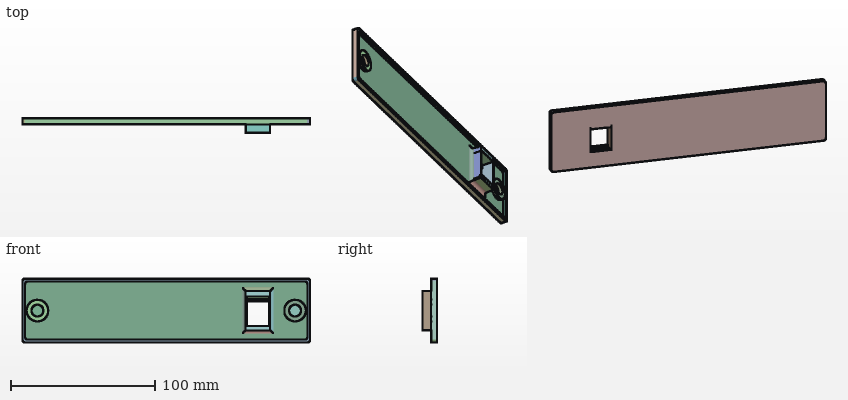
import cadquery as cq

PLATE_LENGTH = 199.6
PLATE_HEIGHT = 44.45
PLATE_THICKNESS = 4.25
PLATE_CORNER_RADIUS = 2.0
RIM_WIDTH = 2.0
FLOOR_THICKNESS = 2.25
POCKET_CORNER_RADIUS = 1.75

BOSS_X = 89.3
BOSS_DIAMETER = 15.0
BOSS_HEIGHT = PLATE_THICKNESS - FLOOR_THICKNESS
HOLE_DIAMETER = 8.2
HOLE_DEPTH = 3.0

HOUSING_X = 63.55
HOUSING_WIDTH = 17.0
HOUSING_HEIGHT = 27.3
TOTAL_DEPTH = 10.25
HOUSING_FILLET_RADIUS = 2.4
SELECTION_MARGIN = 0.1

JACK_WIDTH = 15.3
MOUTH_TOP = 9.9
MOUTH_BOTTOM = -10.6
LEDGE_EDGE_Z = 8.1
WINDOW_TOP = 6.3
CATCH_DEPTH = 1.2
LIP_THICKNESS = 1.75
BOTTOM_LEDGE_THICKNESS = 2.25
TOP_LEDGE_THICKNESS = 1.75

FLOOR_Y = -FLOOR_THICKNESS
RIM_Y = -PLATE_THICKNESS
HOUSING_FACE_Y = -TOTAL_DEPTH


def block(length, height, x, y_from, y_to):
    """Box centred on x and Z = 0, reaching from y_from to y_to along Y."""
    return (
        cq.Workplane("XZ", origin=(x, y_from, 0))
        .rect(length, height)
        .extrude(y_from - y_to)
    )


def cylinder(diameter, x, y_from, y_to):
    """Cylinder along Y at (x, Z = 0), reaching from y_from to y_to."""
    return (
        cq.Workplane("XZ", origin=(x, y_from, 0))
        .circle(diameter / 2)
        .extrude(y_from - y_to)
    )


def make_tray():
    plate = block(PLATE_LENGTH, PLATE_HEIGHT, 0, 0, RIM_Y)
    plate = plate.edges("|Y").fillet(PLATE_CORNER_RADIUS)
    pocket_length = PLATE_LENGTH - 2 * RIM_WIDTH
    pocket_height = PLATE_HEIGHT - 2 * RIM_WIDTH
    pocket = block(pocket_length, pocket_height, 0, FLOOR_Y, RIM_Y)
    pocket = pocket.edges("|Y").fillet(POCKET_CORNER_RADIUS)
    return plate.cut(pocket)


def add_housing(body):
    """Add the housing and the concave fillet where its walls meet the floor."""
    housing = block(HOUSING_WIDTH, HOUSING_HEIGHT, HOUSING_X, 0, HOUSING_FACE_Y)
    body = body.union(housing)
    reach_x = HOUSING_WIDTH / 2 + SELECTION_MARGIN
    reach_z = HOUSING_HEIGHT / 2 + SELECTION_MARGIN
    foot = cq.selectors.BoxSelector(
        (HOUSING_X - reach_x, FLOOR_Y - SELECTION_MARGIN, -reach_z),
        (HOUSING_X + reach_x, FLOOR_Y + SELECTION_MARGIN, reach_z),
        boundingbox=True,
    )
    return body.edges(foot).fillet(HOUSING_FILLET_RADIUS)


def add_bosses(body):
    boss_face_y = FLOOR_Y - BOSS_HEIGHT
    for x in (-BOSS_X, BOSS_X):
        body = body.union(cylinder(BOSS_DIAMETER, x, FLOOR_Y, boss_face_y))
        body = body.cut(cylinder(HOLE_DIAMETER, x, boss_face_y + HOLE_DEPTH, boss_face_y))
    return body


def make_jack_passage():
    """Constant-width cutter whose YZ profile forms the lip, catch and ledges."""
    lip_back_y = HOUSING_FACE_Y + LIP_THICKNESS
    bottom_ledge_y = -BOTTOM_LEDGE_THICKNESS
    top_ledge_y = -TOP_LEDGE_THICKNESS
    catch_z = MOUTH_BOTTOM - CATCH_DEPTH
    profile = [
        (HOUSING_FACE_Y, MOUTH_BOTTOM),
        (lip_back_y, MOUTH_BOTTOM),
        (lip_back_y, catch_z),
        (bottom_ledge_y, catch_z),
        (bottom_ledge_y, MOUTH_BOTTOM),
        (0, MOUTH_BOTTOM),
        (0, WINDOW_TOP),
        (top_ledge_y, LEDGE_EDGE_Z),
        (top_ledge_y, MOUTH_TOP),
        (HOUSING_FACE_Y, MOUTH_TOP),
    ]
    return (
        cq.Workplane("YZ", origin=(HOUSING_X - JACK_WIDTH / 2, 0, 0))
        .polyline(profile)
        .close()
        .extrude(JACK_WIDTH)
    )


result = add_bosses(add_housing(make_tray())).cut(make_jack_passage())